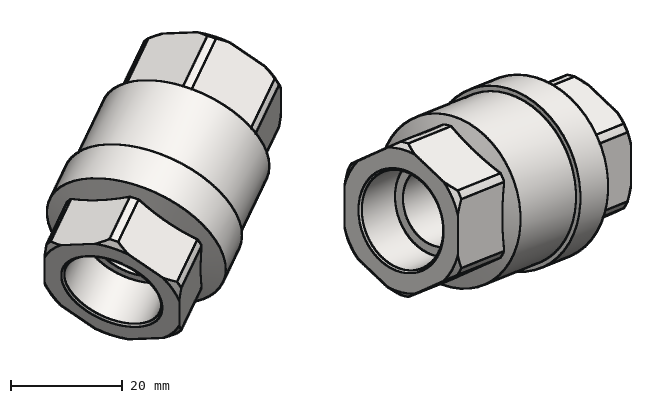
import cadquery as cq
import math

length = 50.0
hex_across_flats = 26.0
hex_corner_diameter = 29.1
hex_end_chamfer = 1.0
collar_diameter = 34.5
collar_start = 12.0
collar_end = 20.0
body_diameter = 32.5
body_end = 36.0
shoulder_angle = 20.0
shoulder_overlap = 0.5
bore_diameter = 15.0
socket_diameter = 18.65
socket_depth = 10.0
mouth_diameter = 19.5

front = -length / 2
back = length / 2


def revolve_about_y(profile):
    """Revolve a closed (radius, y) outline about the Y axis."""
    return cq.Workplane("XY").polyline(profile).close().revolve(360, (0, 0, 0), (0, 1, 0))


def make_hexagon():
    """Full-length hexagon with turned corners and chamfered ends."""
    prism = (
        cq.Workplane("XZ", origin=(0, back, 0))
        .transformed(rotate=(0, 0, 90))
        .polygon(6, hex_across_flats / math.cos(math.pi / 6))
        .extrude(length)
    )
    turned = (
        cq.Workplane("XZ", origin=(0, back, 0))
        .circle(hex_corner_diameter / 2)
        .extrude(length)
        .faces("<Y or >Y")
        .chamfer(hex_end_chamfer)
    )
    return prism.intersect(turned)


def make_body():
    """Round body and collar, each with a conical shoulder down to the hexagon."""
    root_radius = hex_across_flats / 2 - shoulder_overlap
    collar_radius = collar_diameter / 2
    body_radius = body_diameter / 2
    slope = math.tan(math.radians(shoulder_angle))
    front_shoulder = front + collar_start - (collar_radius - root_radius) * slope
    back_shoulder = front + body_end + (body_radius - root_radius) * slope
    return revolve_about_y([
        (0, front_shoulder),
        (root_radius, front_shoulder),
        (collar_radius, front + collar_start),
        (collar_radius, front + collar_end),
        (body_radius, front + collar_end),
        (body_radius, front + body_end),
        (root_radius, back_shoulder),
        (0, back_shoulder),
    ])


def make_bore():
    """Through bore with a socket and a chamfered mouth at both ends."""
    bore_radius = bore_diameter / 2
    socket_radius = socket_diameter / 2
    mouth_radius = mouth_diameter / 2
    mouth_chamfer = mouth_radius - socket_radius
    return revolve_about_y([
        (0, front),
        (mouth_radius, front),
        (socket_radius, front + mouth_chamfer),
        (socket_radius, front + socket_depth),
        (bore_radius, front + socket_depth),
        (bore_radius, back - socket_depth),
        (socket_radius, back - socket_depth),
        (socket_radius, back - mouth_chamfer),
        (mouth_radius, back),
        (0, back),
    ])


result = make_hexagon().union(make_body()).cut(make_bore())